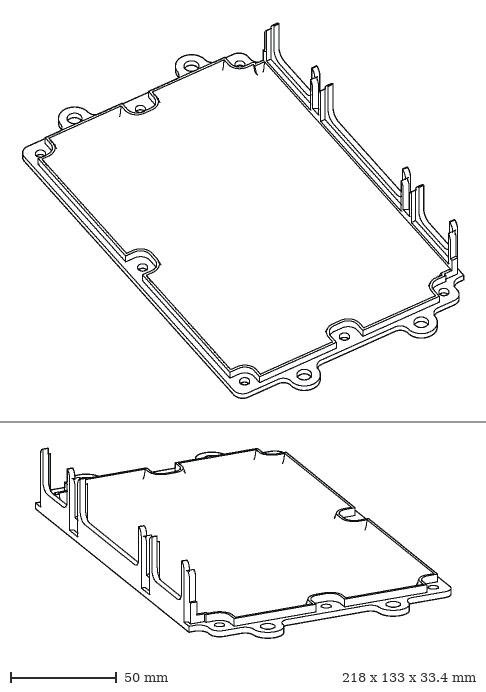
import cadquery as cq
import math

PLATE_HALF_X = 97.5
PLATE_BOTTOM = -66.5
PLATE_SHOULDER = 58.6
PLATE_TOP = 3.0
PLATE_CORNER_R = 5.0

TAB_HALF_X = 85.7
TAB_BACK = 66.5

EAR_X = 101.4
EAR_Y = 32.7
EAR_R = 109.0 - EAR_X
EAR_HOLE_D = 7.0
EAR_BLEND_R = 4.4

SCREW_D = 4.8
SCREW_X = 90.0
SCREW_ROWS = (-58.9, -3.0, 52.5)

RIM_HALF_X = 94.6
RIM_FRONT = -63.7
RIM_TOP = 7.0
LIP = 1.3
FLOOR_Z = 3.0
FLOOR_R = 1.5
DRAFT = 20
NOTCH_REACH = 5.5
NOTCH_HALF = 7.5
NOTCH_R = 5.2
NOTCH_EDGE = SCREW_X - NOTCH_REACH

WALL_HALF_X = 83.3
WALL_FRONT = 61.3
WALL_BACK = 64.5
WALL_END_TOP = 13.7
WALL_GAP_TOP = 11.5
WALL_GAP_DROP = 1.7
REAR_INSET_Y = 57.1
FLANGE_FRONT = 63.7
FLANGE_TOP = 33.4
FLANGE_SHOULDER = 29.5
LEDGE_Z = 9.0
SILL_Z = 12.2
SILL_R = 5.0
FLANGE_W = 2.8
POST_W = 1.7
POST_SHOULDER = 25.7
TIP_R = 4.4
BACK_FILLET = 0.76
PICK = 0.2
WINDOWS = ((-77.4, -44.3), (-29.6, 35.8), (50.4, 77.4))


def block(x0, x1, y0, y1, z0, z1):
    return cq.Workplane("XY").box(x1 - x0, y1 - y0, z1 - z0, centered=False).translate((x0, y0, z0))


def mirrored_pair(solid):
    return solid.union(solid.mirror("YZ"))


def ear(y):
    """One ear on the +X edge, with tangent concave blends into the plate."""
    blend_x = PLATE_HALF_X + EAR_BLEND_R
    reach = EAR_R + EAR_BLEND_R
    blend_dy = math.sqrt(reach**2 - (blend_x - EAR_X) ** 2)
    touch_x = EAR_X + (blend_x - EAR_X) * EAR_R / reach
    touch_dy = blend_dy * EAR_R / reach
    root_x = PLATE_HALF_X - EAR_BLEND_R
    mid = EAR_BLEND_R * math.sqrt(0.5)
    return (
        cq.Workplane("XY")
        .moveTo(root_x, y - blend_dy)
        .lineTo(PLATE_HALF_X, y - blend_dy)
        .threePointArc((blend_x - mid, y - blend_dy + mid), (touch_x, y - touch_dy))
        .threePointArc((EAR_X + EAR_R, y), (touch_x, y + touch_dy))
        .threePointArc((blend_x - mid, y + blend_dy - mid), (PLATE_HALF_X, y + blend_dy))
        .lineTo(root_x, y + blend_dy)
        .close()
        .extrude(PLATE_TOP)
    )


def base_plate():
    main = block(-PLATE_HALF_X, PLATE_HALF_X, PLATE_BOTTOM, PLATE_SHOULDER, 0, PLATE_TOP)
    main = main.edges("|Z").fillet(PLATE_CORNER_R)
    plate = main.union(block(-TAB_HALF_X, TAB_HALF_X, 0, TAB_BACK, 0, PLATE_TOP))
    inner_corners = cq.selectors.BoxSelector(
        (-TAB_HALF_X - PICK, PLATE_SHOULDER - PICK, -PICK),
        (TAB_HALF_X + PICK, PLATE_SHOULDER + PICK, PLATE_TOP + PICK),
    )
    plate = plate.edges("|Z").edges(inner_corners).fillet(PLATE_CORNER_R)
    for y in (-EAR_Y, EAR_Y):
        plate = plate.union(mirrored_pair(ear(y)))
    return plate


def notch(x0, x1, y0, y1):
    """Rounded clearance around a screw, reaching past the rim."""
    return block(x0, x1, y0, y1, 0, RIM_TOP).edges("|Z").fillet(NOTCH_R)


def rim_outline():
    """Rim footprint: a rectangle with rounded notches for the screws."""
    far_x = RIM_HALF_X + 2 * NOTCH_R
    far_y = TAB_BACK + 2 * NOTCH_R
    low_row, mid_row, high_row = SCREW_ROWS
    body = block(-RIM_HALF_X, RIM_HALF_X, RIM_FRONT, WALL_FRONT + LIP, 0, RIM_TOP)
    body = body.cut(notch(-NOTCH_HALF, NOTCH_HALF, -far_y, low_row + NOTCH_REACH))
    side_spans = (
        (-far_y, low_row + NOTCH_REACH),
        (mid_row - NOTCH_HALF, mid_row + NOTCH_HALF),
        (high_row - NOTCH_REACH, far_y),
    )
    for y0, y1 in side_spans:
        body = body.cut(mirrored_pair(notch(NOTCH_EDGE, far_x, y0, y1)))
    return body


def pocket(outline):
    """Floor recess: the rim footprint less the lip, with drafted sides and a rounded foot."""
    inner = outline.faces(">Z").wires().toPending().offset2D(-LIP)
    mouth = cq.Workplane("XY", origin=(0, 0, RIM_TOP)).add(inner.vals()).toPending()
    cavity = mouth.extrude(FLOOR_Z - RIM_TOP, taper=DRAFT)
    return cavity.faces("<Z").edges().fillet(FLOOR_R)


def rear_side_wall():
    """Short inset length of the +X rim beside the rear wall, drafted with a rounded foot."""
    inner = WALL_HALF_X - LIP
    draft = math.radians(DRAFT)
    half_turn = math.pi / 4 - draft / 2
    toe = inner - (RIM_TOP - FLOOR_Z) * math.tan(draft)
    foot = toe - FLOOR_R * math.tan(half_turn)
    centre_z = FLOOR_Z + FLOOR_R

    def on_foot(angle):
        return foot + FLOOR_R * math.sin(angle), centre_z - FLOOR_R * math.cos(angle)

    return (
        cq.Workplane("XZ", origin=(0, WALL_BACK, 0))
        .moveTo(WALL_HALF_X, 0)
        .lineTo(WALL_HALF_X, RIM_TOP)
        .lineTo(inner, RIM_TOP)
        .lineTo(*on_foot(2 * half_turn))
        .threePointArc(on_foot(half_turn), on_foot(0))
        .lineTo(foot, 0)
        .close()
        .extrude(WALL_BACK - REAR_INSET_Y + LIP)
    )


def tray():
    outline = rim_outline()
    body = base_plate().union(outline).cut(pocket(outline))
    inset = block(WALL_HALF_X, RIM_HALF_X, REAR_INSET_Y, TAB_BACK, PLATE_TOP, RIM_TOP)
    return body.cut(mirrored_pair(inset)).union(mirrored_pair(rear_side_wall()))


def tip_rise(run):
    """Height gained along the rounded post tip after moving inward by run."""
    return math.sqrt(TIP_R**2 - (TIP_R - run) ** 2)


def post(outer, inward):
    """Narrow wall post at one side of a window; inward is +1 or -1 along X."""
    half = POST_W / 2
    return (
        cq.Workplane("XZ", origin=(0, WALL_BACK, 0))
        .moveTo(outer, PLATE_TOP)
        .lineTo(outer, POST_SHOULDER)
        .threePointArc(
            (outer + inward * half, POST_SHOULDER + tip_rise(half)),
            (outer + inward * POST_W, POST_SHOULDER + tip_rise(POST_W)),
        )
        .lineTo(outer + inward * POST_W, PLATE_TOP)
        .close()
        .extrude(WALL_BACK - WALL_FRONT)
    )


def flange(left, right):
    """U-shaped flange around one window opening."""
    run = TIP_R - math.sqrt(TIP_R**2 - (FLANGE_TOP - FLANGE_SHOULDER) ** 2)
    outer_l = left - FLANGE_W
    outer_r = right + FLANGE_W
    mid_z = FLANGE_SHOULDER + tip_rise(run / 2)
    frame = (
        cq.Workplane("XZ", origin=(0, TAB_BACK, 0))
        .moveTo(outer_l, 0)
        .lineTo(outer_l, FLANGE_SHOULDER)
        .threePointArc((outer_l + run / 2, mid_z), (outer_l + run, FLANGE_TOP))
        .lineTo(outer_r - run, FLANGE_TOP)
        .threePointArc((outer_r - run / 2, mid_z), (outer_r, FLANGE_SHOULDER))
        .lineTo(outer_r, 0)
        .close()
        .extrude(TAB_BACK - FLANGE_FRONT)
    )
    opening = block(left, right, WALL_FRONT, TAB_BACK, SILL_Z, FLANGE_TOP + SILL_R)
    return frame.cut(opening.edges("|Y and <Z").fillet(SILL_R))


def low_gap_wall(left, right):
    """Low wall between neighbouring windows, its top falling toward the back."""
    return (
        cq.Workplane("YZ", origin=(left, 0, 0))
        .moveTo(WALL_FRONT, PLATE_TOP)
        .lineTo(WALL_FRONT, WALL_GAP_TOP)
        .lineTo(WALL_BACK, WALL_GAP_TOP - WALL_GAP_DROP)
        .lineTo(WALL_BACK, PLATE_TOP)
        .close()
        .extrude(right - left)
    )


def back_fillets(body):
    """Blend the wall's back face into the flange sides."""
    for left, right in WINDOWS:
        for x in (left - FLANGE_W, right + FLANGE_W):
            corner = cq.selectors.BoxSelector(
                (x - PICK, WALL_BACK - PICK, PLATE_TOP - PICK), (x + PICK, WALL_BACK + PICK, FLANGE_TOP)
            )
            body = body.edges("|Z").edges(corner).fillet(BACK_FILLET)
    return body


def rear_wall():
    frame_w = FLANGE_W + POST_W
    wall = block(-WALL_HALF_X, WALL_HALF_X, WALL_FRONT, WALL_BACK, 0, LEDGE_Z)
    for left, right in WINDOWS:
        wall = wall.union(flange(left, right))
        wall = wall.union(post(left - frame_w, 1))
        wall = wall.union(post(right + frame_w, -1))
    for before, after in zip(WINDOWS, WINDOWS[1:]):
        wall = wall.union(low_gap_wall(before[1] + frame_w, after[0] - frame_w))
    end_x = WINDOWS[-1][1] + frame_w
    end = block(end_x, WALL_HALF_X, WALL_FRONT, WALL_BACK, 0, WALL_END_TOP)
    return wall.union(mirrored_pair(end))


def drill(body):
    low_row = SCREW_ROWS[0]
    screws = [(0, low_row)] + [(sx * SCREW_X, y) for sx in (-1, 1) for y in SCREW_ROWS]
    ears = [(sx * EAR_X, sy * EAR_Y) for sx in (-1, 1) for sy in (-1, 1)]
    for places, diameter in ((screws, SCREW_D), (ears, EAR_HOLE_D)):
        body = body.cut(cq.Workplane("XY").pushPoints(places).circle(diameter / 2).extrude(PLATE_TOP))
    return body


result = drill(back_fillets(tray().union(rear_wall())))